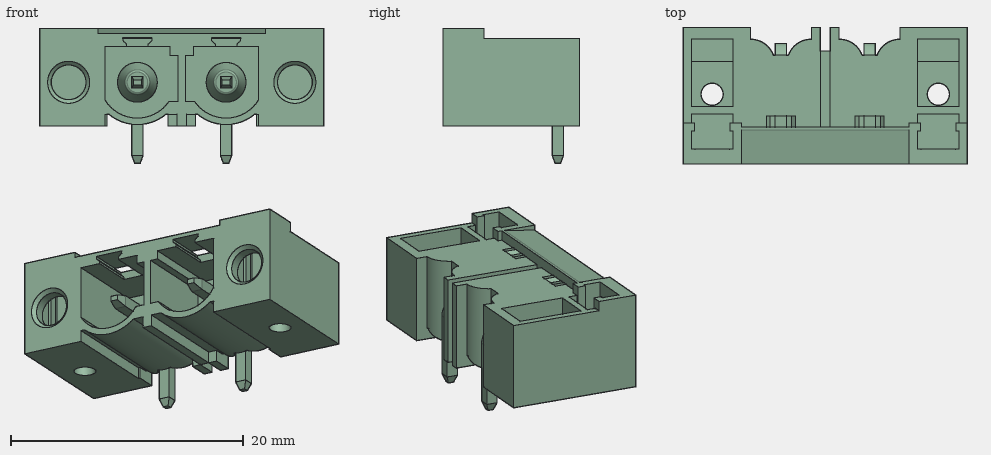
import cadquery as cq
import math


housing_length = 24.42
housing_depth = 11.75
housing_height = 8.4
deck_height = 7.55
hood_depth = 3.17
hood_end_depth = 3.55
ramp_half_length = 7.2
ramp_depth = 2.93
ramp_front_height = 7.94

pitch = 7.62
contact_xs = [-pitch / 2, pitch / 2]
contact_z = 3.75

flange_inner_x = 6.6
underside_z = 1.0
web_half_width = 0.42
barrel_center_z = 3.95
barrel_radius = 3.83
rear_wall_front_y = 9.75

cavity_radius = 3.27
cavity_depth = 8.0
cavity_top_z = 6.84
cavity_inner_x = 0.35
cavity_corner_x = 1.03
cavity_corner_z = 6.08
ledge_z = 2.1
boss_base_radius = 1.7
boss_tip_radius = 1.03
boss_height = 2.0
boss_fillet = 0.2

groove_depth = 4.15
groove_top_z = 7.57
groove_wide_half = 1.25
groove_narrow_half = 0.93
groove_shoulder_z = 7.35
groove_neck_z = 7.03

slot_floor_z = 6.89
rear_rib_outer_x = 1.2
rear_opening_outer_x = 6.42
lobe_back_y = 10.75
lobe_radius = 2.1

flange_center_x = 9.72
pocket_width = 3.57
pocket_floor_z = 1.0
nut_pocket_front_y = 1.3
nut_pocket_back_y = 4.3
nut_rib_front_y = 2.83
nut_rib_back_y = 3.55
nut_rib_height = 0.27
screw_pocket_front_y = 4.93
screw_pocket_back_y = 10.77
shelf_front_y = 8.85
shelf_z = 5.9
board_hole_diameter = 1.88
board_hole_y = 6.0
flange_hole_radius = 1.5
flange_hole_rim_radius = 1.8
flange_hole_chamfer = 0.32

pin_width = 1.0
pin_front_y = 0.88
arm_taper_length = 1.07
arm_tip_width = 0.65
arm_tip_height = 0.45
leg_front_y = 9.38
leg_back_y = leg_front_y + pin_width
bend_outer_radius = 1.5
leg_end_z = -3.2
leg_taper_length = 0.68
leg_tip_width = 0.5


def block(x0, x1, y0, y1, z0, z1):
    """Box between two opposite corners."""
    return cq.Workplane("XY").box(x1 - x0, y1 - y0, z1 - z0, centered=False).translate((x0, y0, z0))


def front_plane(y=0.0):
    """Plane parallel to the mating face whose local axes are X and Z, extruding toward -Y."""
    return cq.Workplane("XZ", origin=(0, y, 0))


def both_sides(shape):
    """The shape together with its mirror image across the middle of the housing."""
    return shape.union(shape.mirror("YZ"))


def outer_body():
    """Flanges, deck, front hood, barrels and the webs that reach the board."""
    half = housing_length / 2
    body = block(-half, half, 0, housing_depth, underside_z, housing_height)
    body = body.union(both_sides(block(flange_inner_x, half, 0, housing_depth, 0, underside_z)))
    body = body.union(block(-web_half_width, web_half_width, 0, housing_depth, 0, underside_z))
    rear_ribs = block(-rear_rib_outer_x, rear_rib_outer_x, rear_wall_front_y, housing_depth, 0, underside_z)
    rear_edge = block(rear_opening_outer_x, flange_inner_x, rear_wall_front_y, housing_depth, 0, underside_z)
    body = body.union(rear_ribs).union(both_sides(rear_edge))
    for x in contact_xs:
        barrel = front_plane(housing_depth).center(x, barrel_center_z).circle(barrel_radius)
        lower_half = block(x - barrel_radius, x + barrel_radius, 0, housing_depth, 0, barrel_center_z)
        body = body.union(barrel.extrude(housing_depth).intersect(lower_half))
    return body


def deck_cut():
    """Space above the deck, behind the hood."""
    half = housing_length / 2
    ramp = ramp_half_length
    over_flanges = block(-half, half, hood_end_depth, housing_depth, deck_height, housing_height)
    over_contacts = block(-ramp, ramp, hood_depth, housing_depth, deck_height, housing_height)
    return over_flanges.union(over_contacts)


def ramp_cut():
    """Wedge that slopes the hood down toward the mating face."""
    return (
        cq.Workplane("YZ", origin=(-ramp_half_length, 0, 0))
        .polyline([(0, ramp_front_height), (ramp_depth, housing_height), (0, housing_height)])
        .close()
        .extrude(2 * ramp_half_length)
    )


def right_cavity():
    """Plug cavity of the right contact with a round floor, a ledge and a key block."""
    x = pitch / 2
    outer_x = flange_inner_x
    outer_z = barrel_center_z - math.sqrt(cavity_radius**2 - (outer_x - x) ** 2)
    ledge_x = x - math.sqrt(cavity_radius**2 - (barrel_center_z - ledge_z) ** 2)
    return (
        front_plane(cavity_depth)
        .moveTo(cavity_inner_x, ledge_z)
        .lineTo(ledge_x, ledge_z)
        .threePointArc((x, barrel_center_z - cavity_radius), (outer_x, outer_z))
        .lineTo(outer_x, cavity_top_z)
        .lineTo(cavity_corner_x, cavity_top_z)
        .lineTo(cavity_corner_x, cavity_corner_z)
        .lineTo(cavity_inner_x, cavity_corner_z)
        .close()
        .extrude(cavity_depth)
    )


def coding_groove(x):
    """Dovetail groove above a cavity, open through the deck behind the hood."""
    right_side = [
        (groove_narrow_half, cavity_top_z),
        (groove_narrow_half, groove_neck_z),
        (groove_wide_half, groove_shoulder_z),
        (groove_wide_half, groove_top_z),
    ]
    left_side = [(-half_width, z) for half_width, z in reversed(right_side)]
    outline = front_plane(groove_depth).center(x, 0).polyline(right_side + left_side).close()
    return outline.extrude(groove_depth)


def boss(x):
    """Tapered boss around the contact on the cavity's back wall, rounded at its front edge."""
    cone = cq.Solid.makeCone(
        boss_base_radius, boss_tip_radius, boss_height,
        pnt=cq.Vector(x, cavity_depth, contact_z), dir=cq.Vector(0, -1, 0),
    )
    return cq.Workplane(cone).faces("<Y").edges().fillet(boss_fillet)


def right_rear_opening():
    """Opening behind the right contact, between two round lobes."""
    lobe_center_y = lobe_back_y - lobe_radius
    reach = math.sqrt(lobe_radius**2 - (leg_front_y - lobe_center_y) ** 2)
    diagonal = lobe_radius * math.sqrt(0.5)
    inner_x = rear_rib_outer_x
    outer_x = rear_opening_outer_x
    return (
        cq.Workplane("XY")
        .moveTo(inner_x, housing_depth)
        .lineTo(inner_x, lobe_back_y)
        .threePointArc((inner_x + diagonal, lobe_center_y + diagonal), (inner_x + reach, leg_front_y))
        .lineTo(outer_x - reach, leg_front_y)
        .threePointArc((outer_x - diagonal, lobe_center_y + diagonal), (outer_x, lobe_back_y))
        .lineTo(outer_x, housing_depth)
        .close()
        .extrude(housing_height)
    )


def center_slot():
    """Slot along the deck that opens to full height at the back wall."""
    along_deck = block(-web_half_width, web_half_width, hood_depth, housing_depth, slot_floor_z, deck_height)
    through_back = block(-web_half_width, web_half_width, rear_wall_front_y, housing_depth, 0, deck_height)
    return along_deck.union(through_back)


def right_flange_cut():
    """Nut pocket, screw pocket, board hole and front hole of the right flange."""
    x0 = flange_center_x - pocket_width / 2
    x1 = flange_center_x + pocket_width / 2
    nut = block(x0, x1, nut_pocket_front_y, nut_pocket_back_y, pocket_floor_z, housing_height)
    for rib_x in (x0, x1 - nut_rib_height):
        rib_end_x = rib_x + nut_rib_height
        rib = block(rib_x, rib_end_x, nut_rib_front_y, nut_rib_back_y, pocket_floor_z, housing_height)
        nut = nut.cut(rib)
    screw = block(x0, x1, screw_pocket_front_y, screw_pocket_back_y, pocket_floor_z, housing_height)
    screw = screw.cut(block(x0, x1, shelf_front_y, screw_pocket_back_y, pocket_floor_z, shelf_z))
    board_hole = (
        cq.Workplane("XY").center(flange_center_x, board_hole_y).circle(board_hole_diameter / 2)
        .extrude(pocket_floor_z)
    )
    front_hole = (
        front_plane(nut_pocket_front_y).center(flange_center_x, contact_z).circle(flange_hole_radius)
        .extrude(nut_pocket_front_y)
    )
    rim = cq.Solid.makeCone(
        flange_hole_rim_radius, flange_hole_radius, flange_hole_chamfer,
        pnt=cq.Vector(flange_center_x, 0, contact_z), dir=cq.Vector(0, 1, 0),
    )
    return nut.union(screw).union(board_hole).union(front_hole).union(cq.Workplane(rim))


def make_pin(x):
    """Square contact pin bent down at a right angle, with tapered ends."""
    half = pin_width / 2
    top_z = contact_z + half
    bottom_z = contact_z - half
    bend_y = leg_back_y - bend_outer_radius
    bend_z = top_z - bend_outer_radius
    inner_radius = bend_outer_radius - pin_width
    diagonal = math.sqrt(0.5)
    arm_start_y = pin_front_y + arm_taper_length
    leg_square_end_z = leg_end_z + leg_taper_length
    bar = (
        cq.Workplane("YZ", origin=(x - half, 0, 0))
        .moveTo(arm_start_y, top_z)
        .lineTo(bend_y, top_z)
        .threePointArc(
            (bend_y + bend_outer_radius * diagonal, bend_z + bend_outer_radius * diagonal),
            (leg_back_y, bend_z),
        )
        .lineTo(leg_back_y, leg_square_end_z)
        .lineTo(leg_front_y, leg_square_end_z)
        .lineTo(leg_front_y, bend_z)
        .threePointArc(
            (bend_y + inner_radius * diagonal, bend_z + inner_radius * diagonal),
            (bend_y, bottom_z),
        )
        .lineTo(arm_start_y, bottom_z)
        .close()
        .extrude(pin_width)
    )
    arm_tip = (
        front_plane(arm_start_y).center(x, contact_z).rect(pin_width, pin_width)
        .workplane(offset=arm_taper_length).rect(arm_tip_width, arm_tip_height).loft()
    )
    leg_tip = (
        cq.Workplane("XY", origin=(x, leg_front_y + half, leg_end_z)).rect(leg_tip_width, leg_tip_width)
        .workplane(offset=leg_taper_length).rect(pin_width, pin_width).loft()
    )
    return bar.union(arm_tip).union(leg_tip)


def make_housing(pins):
    """Housing with a matching passage for every pin."""
    body = outer_body().cut(deck_cut()).cut(ramp_cut())
    body = body.cut(both_sides(right_cavity()))
    for x in contact_xs:
        body = body.cut(coding_groove(x)).union(boss(x))
    body = body.cut(both_sides(right_rear_opening()))
    body = body.cut(center_slot())
    body = body.cut(both_sides(right_flange_cut()))
    for pin in pins:
        body = body.cut(pin)
    return body


pins = [make_pin(x) for x in contact_xs]
housing = make_housing(pins).solids()

result = cq.Compound.makeCompound([housing.val()] + [pin.val() for pin in pins])